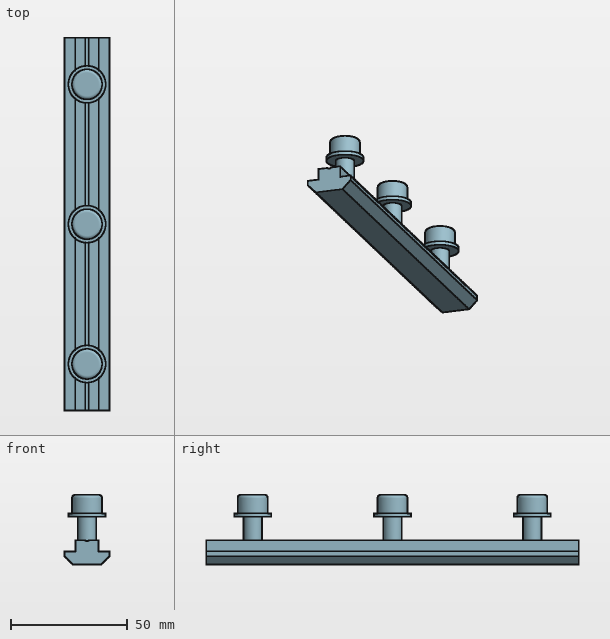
import cadquery as cq

rail_length = 160.0
rail_width = 19.5
stem_width = 10.0
rail_height = 10.5
flange_height = 5.8
flange_chamfer = 3.7
groove_width = 1.6
groove_depth = 0.5

screw_pitch = 60.0
shank_diameter = 8.0
washer_diameter = 16.0
washer_thickness = 1.6
head_diameter = 13.0
head_height = 8.0
head_fillet = 1.5
total_height = 30.0

washer_top = total_height - head_height
washer_bottom = washer_top - washer_thickness


def make_rail():
    """T-shaped bar along Y with a shallow round groove along its top."""
    half_width = rail_width / 2
    half_stem = stem_width / 2
    half_groove = groove_width / 2
    half_base = half_width - flange_chamfer
    profile = (
        cq.Workplane("XZ")
        .moveTo(-half_base, 0)
        .lineTo(half_base, 0)
        .lineTo(half_width, flange_chamfer)
        .lineTo(half_width, flange_height)
        .lineTo(half_stem, flange_height)
        .lineTo(half_stem, rail_height)
        .lineTo(half_groove, rail_height)
        .threePointArc((0, rail_height - groove_depth), (-half_groove, rail_height))
        .lineTo(-half_stem, rail_height)
        .lineTo(-half_stem, flange_height)
        .lineTo(-half_width, flange_height)
        .lineTo(-half_width, flange_chamfer)
        .close()
    )
    return profile.extrude(rail_length / 2, both=True)


def cylinder(diameter, bottom, top):
    """Vertical cylinder centred on the Z axis."""
    return cq.Workplane("XY", origin=(0, 0, bottom)).circle(diameter / 2).extrude(top - bottom)


def make_screw():
    """Round-edged head on a washer, with a shank reaching into the flange."""
    shank = cylinder(shank_diameter, flange_height, washer_bottom)
    washer = cylinder(washer_diameter, washer_bottom, washer_top)
    head = cylinder(head_diameter, washer_top, total_height).faces(">Z").edges().fillet(head_fillet)
    return shank.union(washer).union(head)


result = make_rail()
screw = make_screw()
for position in (-1, 0, 1):
    result = result.union(screw.translate((0, position * screw_pitch, 0)))